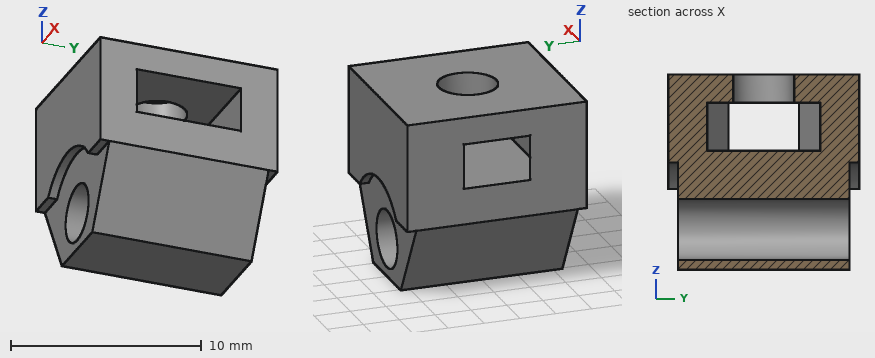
import cadquery as cq
import math

block_width = 9.0
block_depth = 10.0
block_height = 6.0
total_height = 10.24
foot_height = total_height - block_height

end_setback = 0.5
foot_depth = block_depth - 2 * end_setback
foot_bottom_width = 4.25

hole_diameter = 3.2
shoulder_radius = 3.5
bore_height = foot_height / 2

slot_mouth_depth = 3.68
slot_full_depth = 5.9
flare_angle = 30.0
flare_length = (slot_full_depth - slot_mouth_depth) / 2 / math.tan(math.radians(flare_angle))
slot_height = 2.5
slot_roof = 1.5
slot_floor_height = total_height - slot_roof - slot_height


def cylinder_along_y(radius, length):
    """Cylinder on the cross-bore axis, centred on Y = 0."""
    return (
        cq.Workplane("XZ", origin=(0, length / 2, 0))
        .center(0, bore_height)
        .circle(radius)
        .extrude(length)
    )


def make_block():
    """Upper block with the shoulder arch cut through its underside."""
    block = (
        cq.Workplane("XY", origin=(0, 0, foot_height))
        .rect(block_width, block_depth)
        .extrude(block_height)
    )
    return block.cut(cylinder_along_y(shoulder_radius, block_depth))


def make_foot():
    """Tapered foot topped by the shoulder that fills the arch."""
    taper = (
        cq.Workplane("XZ", origin=(0, foot_depth / 2, 0))
        .moveTo(-foot_bottom_width / 2, 0)
        .lineTo(foot_bottom_width / 2, 0)
        .lineTo(block_width / 2, foot_height)
        .lineTo(-block_width / 2, foot_height)
        .close()
        .extrude(foot_depth)
    )
    above_foot = (
        cq.Workplane("XY", origin=(0, 0, foot_height))
        .rect(block_width, foot_depth)
        .extrude(block_height)
    )
    shoulder = cylinder_along_y(shoulder_radius, foot_depth).intersect(above_foot)
    return taper.union(shoulder)


def make_slot():
    """Flared slot running through both X sides of the block."""
    mouth_x = -block_width / 2
    flare_end_x = mouth_x + flare_length
    return (
        cq.Workplane("XY", origin=(0, 0, slot_floor_height))
        .moveTo(mouth_x, -slot_mouth_depth / 2)
        .lineTo(flare_end_x, -slot_full_depth / 2)
        .lineTo(block_width / 2, -slot_full_depth / 2)
        .lineTo(block_width / 2, slot_full_depth / 2)
        .lineTo(flare_end_x, slot_full_depth / 2)
        .lineTo(mouth_x, slot_mouth_depth / 2)
        .close()
        .extrude(slot_height)
    )


def make_top_hole():
    """Vertical hole from the top face down to the slot floor."""
    return (
        cq.Workplane("XY", origin=(0, 0, slot_floor_height))
        .circle(hole_diameter / 2)
        .extrude(slot_height + slot_roof)
    )


body = make_block().union(make_foot())
cross_bore = cylinder_along_y(hole_diameter / 2, block_depth)
result = body.cut(cross_bore).cut(make_slot()).cut(make_top_hole())